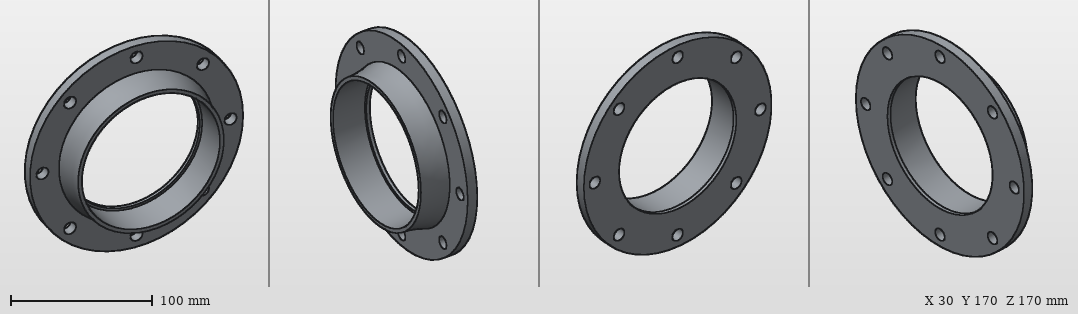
import cadquery as cq
import math

flange_diameter = 170.0
flange_thickness = 8.2
total_length = 30.0

lip_diameter = 106.0
bore_diameter = 110.0
lip_depth = 3.0

hub_base_diameter = 124.0
hub_end_diameter = 116.3

bolt_count = 8
bolt_hole_diameter = 9.5
bolt_circle_diameter = 150.0


def flange():
    return cq.Workplane("YZ").circle(flange_diameter / 2).extrude(flange_thickness)


def hub():
    """Solid hub, revolved about the X axis."""
    base_radius = hub_base_diameter / 2
    end_radius = hub_end_diameter / 2
    length = total_length - flange_thickness
    drop = base_radius - end_radius
    arc_radius = (length**2 + drop**2) / (2 * drop)
    half_angle = math.atan2(drop, length)
    middle = (
        total_length - arc_radius * math.sin(half_angle),
        end_radius + arc_radius * (1 - math.cos(half_angle)),
    )
    return (
        cq.Workplane("XY")
        .lineTo(0, base_radius)
        .lineTo(flange_thickness, base_radius)
        .threePointArc(middle, (total_length, end_radius))
        .lineTo(total_length, 0)
        .close()
        .revolve(360, (0, 0, 0), (1, 0, 0))
    )


def stepped_bore():
    lip = cq.Workplane("YZ").circle(lip_diameter / 2).extrude(total_length)
    bore = (
        cq.Workplane("YZ", origin=(lip_depth, 0, 0))
        .circle(bore_diameter / 2)
        .extrude(total_length - lip_depth)
    )
    return lip.union(bore)


def bolt_holes():
    return (
        cq.Workplane("YZ")
        .polarArray(bolt_circle_diameter / 2, 0, 360, bolt_count)
        .circle(bolt_hole_diameter / 2)
        .extrude(flange_thickness)
    )


result = flange().union(hub()).cut(stepped_bore()).cut(bolt_holes())